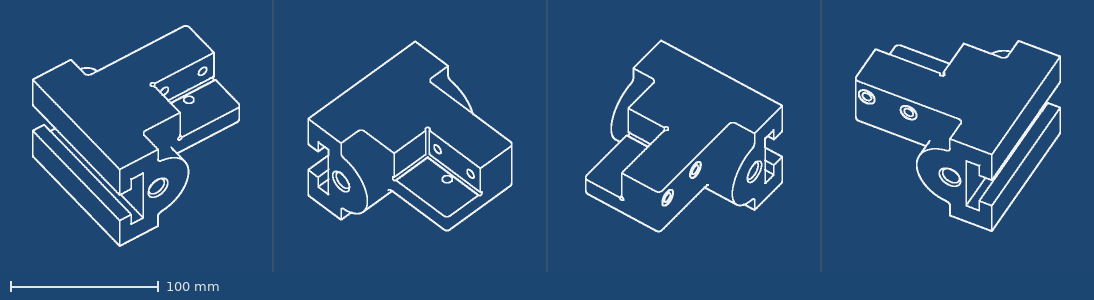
import cadquery as cq

width = 101.6
length = 114.3
height = 76.2
foot_depth = 31.8
axis_z = height / 2

slot_depth = 19.5
slot_height = 44.5
neck_depth = 9.6
neck_height = 25.4

boss_radius = 25.4
bore_diameter = 12.8
bore_mouth_diameter = 16.1

arm_width = 63.5
arm_bottom = 35.0
round_radius = 3.2

pocket_front = 63.5
pocket_floor = 50.9
relief_radius = 1.6

screw_diameter = 6.7
spotface_diameter = 12.1
spotface_depth = 0.5
side_hole_positions = (73.0, 104.8)
side_hole_z = 63.5
floor_hole_x = 6.4
floor_hole_y = 88.9

margin = 0.1


def block(x_range, y_range, z_range):
    """Box between the given limits."""
    (x0, x1), (y0, y1), (z0, z1) = x_range, y_range, z_range
    return cq.Workplane("XY").box(x1 - x0, y1 - y0, z1 - z0, centered=False).translate((x0, y0, z0))


def rod_x(y, z, diameter, x_start, x_end):
    """Cylinder along X."""
    rod = cq.Workplane("YZ", origin=(x_start, y, z)).circle(diameter / 2)
    return rod.extrude(x_end - x_start)


def make_body():
    """Foot, boss and arm, with their outer and inner edges rounded."""
    half = width / 2
    foot = block((-half, half), (0, foot_depth), (0, height))
    boss = rod_x(foot_depth, axis_z, 2 * boss_radius, -half, half)
    profile = foot.union(boss)
    joint = cq.selectors.BoxSelector(
        (-width, foot_depth - margin, axis_z - boss_radius - margin),
        (width, foot_depth + margin, axis_z + boss_radius + margin),
    )
    profile = profile.edges("|X").edges(joint).fillet(round_radius)

    arm = block((-arm_width / 2, arm_width / 2), (foot_depth / 2, length), (arm_bottom, height))
    arm = arm.edges("|Z and >Y").fillet(round_radius)
    arm = arm.faces("<Z").edges("not <Y").fillet(round_radius)
    return profile.union(arm)


def blend_arm(body):
    """Round the inner corner all around the arm where it meets the foot and boss."""
    seam_start = cq.selectors.BoxSelector(
        (-arm_width / 2 - margin, foot_depth - margin, axis_z + boss_radius),
        (arm_width / 2 + margin, foot_depth + margin, height - margin),
    )
    return body.edges("|Z").edges(seam_start).fillet(round_radius)


def make_t_slot():
    """T-slot open to the front face."""
    x_range = (-width / 2, width / 2)
    neck = block(x_range, (0, neck_depth), (axis_z - neck_height / 2, axis_z + neck_height / 2))
    head = block(
        x_range, (neck_depth, slot_depth), (axis_z - slot_height / 2, axis_z + slot_height / 2)
    )
    return neck.union(head)


def make_bore():
    """Bore through the boss with a 45 degree chamfer at each mouth."""
    bore = rod_x(foot_depth, axis_z, bore_diameter, -width / 2, width / 2)
    chamfer = (bore_mouth_diameter - bore_diameter) / 2
    for side in (-1, 1):
        mouth = cq.Solid.makeCone(
            bore_mouth_diameter / 2,
            bore_diameter / 2,
            chamfer,
            cq.Vector(side * width / 2, foot_depth, axis_z),
            cq.Vector(-side, 0, 0),
        )
        bore = bore.union(cq.Workplane(mouth))
    return bore


def make_pocket():
    """Corner pocket with round relief grooves along its three inner edges."""
    pocket = block((0, arm_width / 2), (pocket_front, length), (pocket_floor, height))
    corner = cq.Vector(0, pocket_front, pocket_floor)
    edges = (
        (cq.Vector(1, 0, 0), arm_width / 2),
        (cq.Vector(0, 1, 0), length - pocket_front),
        (cq.Vector(0, 0, 1), height - pocket_floor),
    )
    for direction, reach in edges:
        groove = cq.Solid.makeCylinder(relief_radius, reach, corner, direction)
        pocket = pocket.union(cq.Workplane(groove))
    return pocket.union(cq.Workplane("XY").sphere(relief_radius).translate(corner.toTuple()))


def make_screw_holes():
    """Spotfaced side holes into the pocket and one hole through its floor."""
    left = -arm_width / 2
    holes = cq.Workplane("XY", origin=(floor_hole_x, floor_hole_y, 0))
    holes = holes.circle(screw_diameter / 2).extrude(height)
    for y in side_hole_positions:
        hole = rod_x(y, side_hole_z, screw_diameter, left, -left)
        spotface = rod_x(y, side_hole_z, spotface_diameter, left, left + spotface_depth)
        holes = holes.union(hole).union(spotface)
    return holes


result = blend_arm(make_body())
for cutter in (make_t_slot(), make_bore(), make_pocket(), make_screw_holes()):
    result = result.cut(cutter)